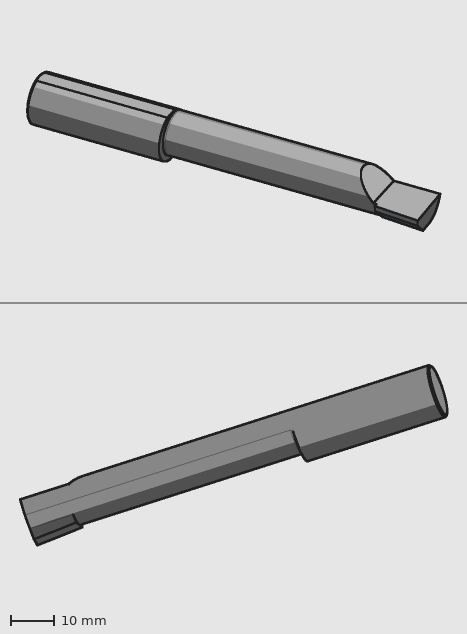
import cadquery as cq
import math

total_length = 101.6

shank_diameter = 12.7
shank_radius = shank_diameter / 2
shank_length = 34.4
shank_chamfer = 0.4
shank_height = 12.4
shank_flat_height = shank_height - shank_radius

neck_radius = 5.5
neck_offset = 1.3
taper_length = 0.5
taper_depth = 0.1

rake_z = 0.1
ramp_end_x = 89.1
ramp_height = neck_radius - rake_z
ramp_start_x = ramp_end_x - ramp_height

head_start_x = 89.9
head_start_y = -5.1
head_tip_y = -6.0
side_land_bottom_z = -1.5
side_relief_angle = 7.0
end_relief_angle = 7.0
end_trail_angle = 2.0


def make_shank():
    shank = cq.Workplane("YZ").circle(shank_radius).extrude(shank_length)
    shank = shank.faces("<X").chamfer(shank_chamfer)
    above_flat = cq.Workplane("XY").box(
        shank_length, shank_diameter, shank_diameter, centered=(False, True, False)
    ).translate((0, 0, shank_flat_height))
    return shank.cut(above_flat)


def make_neck():
    """Offset round bar, trimmed to the shank's own cylinder at the back."""
    neck_length = total_length - shank_length
    start = cq.Workplane("YZ", origin=(shank_length, 0, 0))
    envelope = start.circle(shank_radius).extrude(neck_length)
    neck = start.center(neck_offset, 0).circle(neck_radius).extrude(neck_length)
    taper = (
        start.center(neck_offset, 0)
        .circle(neck_radius + taper_depth)
        .workplane(offset=taper_length)
        .circle(neck_radius)
        .loft()
    )
    neck = neck.union(taper).intersect(envelope)
    above_rake = (
        cq.Workplane("XZ")
        .moveTo(ramp_end_x, rake_z)
        .lineTo(total_length, rake_z)
        .lineTo(total_length, shank_radius)
        .lineTo(ramp_start_x - (shank_radius - neck_radius), shank_radius)
        .close()
        .extrude(shank_diameter, both=True)
    )
    return neck.cut(above_rake)


def head_section(edge_y):
    """YZ outline: near-vertical land under the edge, then a 45 degree underside."""
    land_height = rake_z - side_land_bottom_z
    land_y = edge_y + land_height * math.tan(math.radians(side_relief_angle))
    bottom_y = land_y + neck_radius + side_land_bottom_z
    return [
        (neck_offset, rake_z),
        (edge_y, rake_z),
        (land_y, side_land_bottom_z),
        (bottom_y, -neck_radius),
        (neck_offset, -neck_radius),
    ]


def make_head():
    return (
        cq.Workplane("YZ", origin=(head_start_x, 0, 0))
        .polyline(head_section(head_start_y))
        .close()
        .workplane(offset=total_length - head_start_x)
        .polyline(head_section(head_tip_y))
        .close()
        .loft(ruled=True)
    )


def make_end_trim():
    """Block beyond the sloping end face, which passes through the cutting tip."""
    normal = (
        1,
        math.tan(math.radians(end_trail_angle)),
        -math.tan(math.radians(end_relief_angle)),
    )
    end_plane = cq.Plane(origin=(total_length, head_tip_y, rake_z), normal=normal)
    block_size = 4 * shank_diameter
    return cq.Workplane(end_plane).rect(block_size, block_size).extrude(shank_diameter)


result = make_shank().union(make_neck()).union(make_head()).cut(make_end_trim())